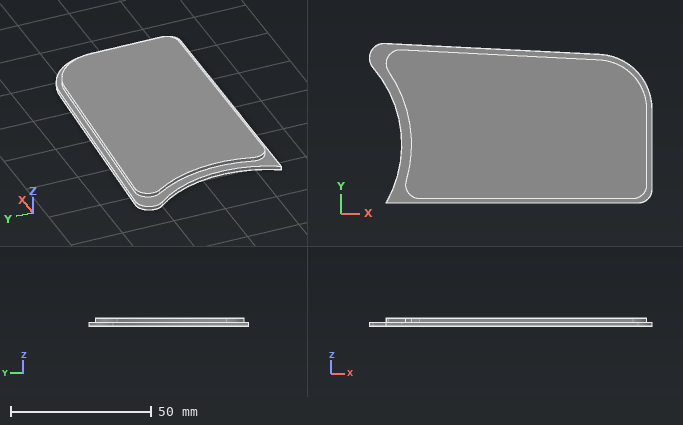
import cadquery as cq
import math

length = 101.0
base_thickness = 1.5
panel_thickness = 1.5
right_height = 52.2
top_slope = math.radians(2.9)

side_margin = 1.9
top_margin = 2.0
bottom_margin = 1.6

hollow_y = 20.9
base_hollow_x = 11.5
base_hollow_radius = 42.0
panel_hollow_x = 15.1
panel_hollow_radius = 45.9

base_large_radius = 19.7
panel_large_radius = base_large_radius - side_margin
base_tip_radius = 5.3
small_radius = 5.0


def top_y(x):
    """Height of the sloping upper side of the base at x."""
    return right_height + (length - x) * math.tan(top_slope)


def round_corner(body, x, y, radius):
    """Round the upright edge closest to the given corner."""
    corner = cq.selectors.NearestToPointSelector((x, y, body.val().Center().z))
    return body.edges("|Z").edges(corner).fillet(radius)


def hollowed_slab(right, bottom, top_drop, hollow_x, hollow_radius, thickness):
    """Four-sided slab whose left side is cut away by a large cylinder."""
    hollow_center_x = hollow_x - hollow_radius
    left = hollow_center_x
    outline = [
        (left, bottom),
        (right, bottom),
        (right, top_y(right) - top_drop),
        (left, top_y(left) - top_drop),
    ]
    slab = cq.Workplane("XY").polyline(outline).close().extrude(thickness)
    hollow = (
        cq.Workplane("XY")
        .center(hollow_center_x, hollow_y)
        .circle(hollow_radius)
        .extrude(thickness)
    )
    return slab.cut(hollow)


def make_base():
    base = hollowed_slab(length, 0, 0, base_hollow_x, base_hollow_radius, base_thickness)
    base = round_corner(base, length, 0, small_radius)
    base = round_corner(base, length, right_height, base_large_radius)
    return round_corner(base, 0, top_y(0), base_tip_radius)


def make_panel():
    right = length - side_margin
    panel = hollowed_slab(
        right, bottom_margin, top_margin, panel_hollow_x, panel_hollow_radius, panel_thickness
    )
    panel = round_corner(panel, right, bottom_margin, small_radius)
    panel = round_corner(panel, right, right_height, panel_large_radius)
    panel = round_corner(panel, panel_hollow_x, bottom_margin, small_radius)
    panel = round_corner(panel, 0, top_y(0), small_radius)
    return panel.translate((0, 0, base_thickness))


result = make_base().union(make_panel())